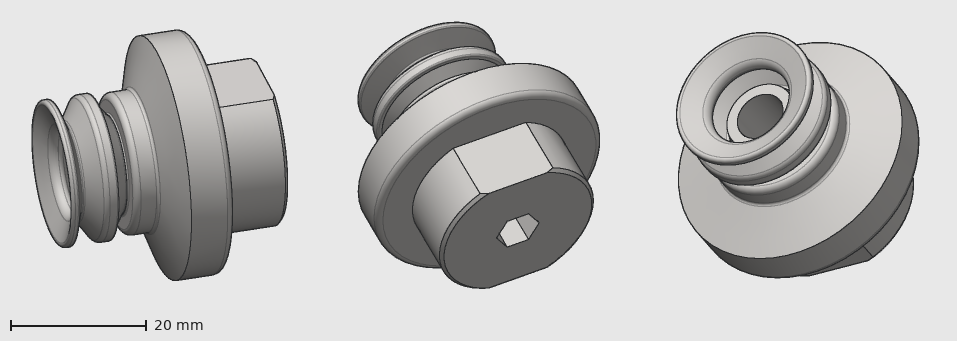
import cadquery as cq
import math

total_length = 32.75

head_radius = 12.5
head_length = 10.0
head_flat_spacing = 22.0
head_chamfer = 0.5
head_start = total_length - head_length

flange_radius = 18.25
flange_front = 16.2
flange_round = 1.0
flange_cone_end = 13.4

collar_radius = 10.65
collar_front = 9.67
collar_front_round = 1.0
collar_root_round = 0.5

fold_radius = 11.02
fold_rear = 7.23
fold_front_corner = 5.3
fold_rear_cone_radius = 10.25
fold_front_round = 1.0
edge_round = 0.25
neck_radius = 7.52
rear_neck_y = 9.3
front_neck_rear = 2.9
front_neck_front = 2.52
rim_rear = 1.13
rim_round = 0.5

flare_angle = math.radians(25.5)
throat_radius = 6.4
throat_rear = 3.4
throat_front_round = 1.5
throat_rear_round = 1.0
cavity_radius = 9.5
cavity_front = 5.45
cavity_rear = 6.42
cavity_floor = 9.12
rim_corner = rim_round * (1 - 1 / math.cos(flare_angle) - math.tan(flare_angle))
throat_front = rim_corner + (fold_radius - throat_radius) * math.tan(flare_angle)

nozzle_tip = 5.95
nozzle_tip_radius = 5.45
nozzle_base_radius = 6.35
nozzle_base_round = 0.4

bore_radius = 3.72
hex_across_flats = 6.0


def toward(start, end, distance):
    """Point at the given distance from start on the way to end."""
    length = math.dist(start, end)
    return tuple(s + (e - s) * distance / length for s, e in zip(start, end))


def rounded_outline(corners):
    """Closed XY outline through (radius, y, round) corners, each round being a tangent arc."""
    outline = cq.Workplane("XY").moveTo(*corners[0][:2])
    for index in range(1, len(corners)):
        before = corners[index - 1][:2]
        corner = corners[index][:2]
        corner_round = corners[index][2]
        after = corners[(index + 1) % len(corners)][:2]
        if corner_round == 0:
            outline = outline.lineTo(*corner)
            continue
        to_before = toward((0, 0), (before[0] - corner[0], before[1] - corner[1]), 1)
        to_after = toward((0, 0), (after[0] - corner[0], after[1] - corner[1]), 1)
        half_angle = math.acos(to_before[0] * to_after[0] + to_before[1] * to_after[1]) / 2
        setback = corner_round / math.tan(half_angle)
        arc_start = toward(corner, before, setback)
        arc_end = toward(corner, after, setback)
        chord_middle = tuple((a + b) / 2 for a, b in zip(arc_start, arc_end))
        arc_middle = toward(corner, chord_middle, corner_round / math.sin(half_angle) - corner_round)
        outline = outline.lineTo(*arc_start).threePointArc(arc_middle, arc_end)
    return outline.close()


def make_turned_body():
    """Nozzle, bellows, collar, flange and round head as one revolved profile."""
    nozzle = [
        (0, nozzle_tip, 0),
        (nozzle_tip_radius, nozzle_tip, 0),
        (nozzle_base_radius, cavity_floor, nozzle_base_round),
    ]
    bellows_inside = [
        (cavity_radius, cavity_rear, 0),
        (cavity_radius, cavity_front, 0),
        (throat_radius, throat_rear, throat_rear_round),
        (throat_radius, throat_front, throat_front_round),
    ]
    bellows_outside = [
        (fold_radius, rim_corner, rim_round),
        (fold_radius, rim_rear, edge_round),
        (neck_radius, front_neck_front, edge_round),
        (neck_radius, front_neck_rear, edge_round),
        (fold_radius, fold_front_corner, fold_front_round),
        (fold_radius, fold_rear, edge_round),
        (fold_rear_cone_radius, fold_rear, 0),
        (neck_radius, rear_neck_y, edge_round),
        (neck_radius, collar_front, edge_round),
    ]
    fitting = [
        (collar_radius, collar_front, collar_front_round),
        (collar_radius, flange_cone_end, collar_root_round),
        (flange_radius, flange_front, 0),
        (flange_radius, head_start, flange_round),
        (head_radius, head_start, 0),
        (head_radius, total_length - head_chamfer, 0),
        (head_radius - head_chamfer, total_length, 0),
        (0, total_length, 0),
    ]
    outline = rounded_outline(nozzle + bellows_inside + bellows_outside + fitting)
    return outline.revolve(360, (0, 0, 0), (0, 1, 0))


def make_flat_cutter(side):
    """Block that removes the head beyond the wrench flat on the +Z (1) or -Z (-1) side."""
    height = head_radius
    return cq.Workplane("XY").box(
        2 * head_radius, head_length, height, centered=(True, False, True)
    ).translate((0, head_start, side * (head_flat_spacing + height) / 2))


def along_axis(y):
    """Plane across the axis at y, facing +Y, with its x direction along X."""
    return cq.Workplane(cq.Plane(origin=(0, y, 0), xDir=(1, 0, 0), normal=(0, 1, 0)))


def make_passage():
    """Round bore up to the head, then a hexagonal key hole out through the head."""
    bore = along_axis(nozzle_tip).circle(bore_radius).extrude(head_start - nozzle_tip)
    hex_across_corners = hex_across_flats / math.cos(math.pi / 6)
    key_hole = along_axis(head_start).polygon(6, hex_across_corners).extrude(head_length)
    return bore.union(key_hole)


result = make_turned_body()
for side in (1, -1):
    result = result.cut(make_flat_cutter(side))
result = result.cut(make_passage())